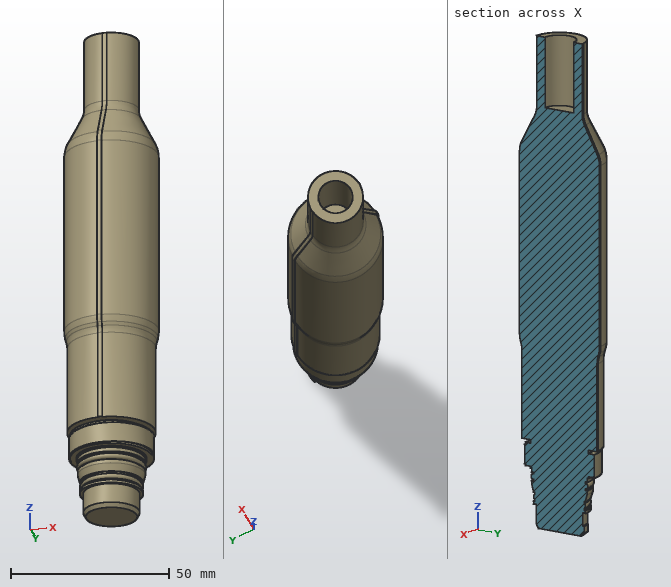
import cadquery as cq
import math

TOTAL_HEIGHT = 161.5
NECK_RADIUS = 8.7
NECK_BOTTOM = 138.4
BODY_RADIUS = 15.0
BODY_TOP = 122.4
BODY_BOTTOM = 63.1
GRIP_RADIUS = 14.0
GRIP_TOP = 57.3
HANDLE_BOTTOM = 28.6
UPPER_BLEND_RADIUS = 7.6
LOWER_BLEND_RADIUS = 8.5

BORE_DIAMETER = 10.8
BORE_DEPTH = TOTAL_HEIGHT - NECK_BOTTOM

OVERALL_DEPTH = 30.8
RIB_WIDTH = 1.5
RIB_HEIGHT = OVERALL_DEPTH / 2 - BODY_RADIUS
RIB_NECK_HEIGHT = 0.1
RIB_CROWN = 0.1
RIB_ROOT = 0.8

COLLAR_RADIUS = 27.0 / 2
COLLAR_TOP = 27.6
COLLAR_BOTTOM = 19.9
COLLAR_CORE_RADIUS = 13.1
LEDGE_DROP = 1.3
LEDGE_RISE = 1.0
LEDGE_CUT_SIZE = 1.6

HUB_RADIUS = 11.1
HUB_BOTTOM = 19.4

SHANK_RADIUS = 21.5 / 2
SHANK_TAPER_TOP = 14.2
NOSE_TOP = 11.6
NOSE_RADIUS = 20.0 / 2
NOSE_BOTTOM = 7.8
TIP_RADIUS = 18.0 / 2
TIP_CHAMFER_HEIGHT = 1.5
TIP_CHAMFER_WIDTH = 0.8

RING_SECTION = 2.0
UPPER_GROOVE_TOP = 18.1
UPPER_GROOVE_BOTTOM = 15.3
UPPER_GROOVE_RADIUS = 20.0 / 2
UPPER_RING_RADIUS = 22.0 / 2
LOWER_GROOVE_TOP = NOSE_TOP
LOWER_GROOVE_BOTTOM = 8.7
LOWER_GROOVE_RADIUS = 19.0 / 2
LOWER_RING_RADIUS = NOSE_RADIUS

KEY_RADIUS = 19.0 / 2
KEY_WIDTH = 5.5
KEY_TOP = 3.5
KEY_BOTTOM = 0.6
KEY_CHAMFER = 0.6


def shoulder(narrow_radius, narrow_z, wide_z, blend_radius, inset):
    """S-shaped step from the body radius to a narrower radius, as points from the wide end.

    Two arcs with a straight line tangent to both; the whole curve is moved inward by inset.
    Returns wide end, arc middle, tangent point, tangent point, arc middle, narrow end.
    """
    side = math.copysign(1, narrow_z - wide_z)
    wide_centre = BODY_RADIUS - blend_radius
    narrow_centre = narrow_radius + blend_radius
    run = narrow_centre - wide_centre
    rise = abs(narrow_z - wide_z)
    slope = math.atan2(rise, run) - math.acos(2 * blend_radius / math.hypot(run, rise))

    def wide_point(angle):
        arc = blend_radius - inset
        return (wide_centre + arc * math.cos(angle), wide_z + side * arc * math.sin(angle))

    def narrow_point(angle):
        arc = blend_radius + inset
        return (narrow_centre - arc * math.cos(angle), narrow_z - side * arc * math.sin(angle))

    wide_arc = [wide_point(angle) for angle in (0, slope / 2, slope)]
    narrow_arc = [narrow_point(angle) for angle in (slope, slope / 2, 0)]
    return wide_arc + narrow_arc


def handle_outline(plane, inset=0.0, neck_radius=NECK_RADIUS):
    """Open outline of the handle side, from bottom to top, moved inward by inset."""
    lower = shoulder(GRIP_RADIUS, GRIP_TOP, BODY_BOTTOM, LOWER_BLEND_RADIUS, inset)[::-1]
    upper = shoulder(neck_radius, NECK_BOTTOM, BODY_TOP, UPPER_BLEND_RADIUS, inset)
    outline = cq.Workplane(plane).moveTo(GRIP_RADIUS - inset, HANDLE_BOTTOM)
    for start, arc_middle, tangent, next_tangent, next_middle, end in (lower, upper):
        outline = outline.lineTo(*start).threePointArc(arc_middle, tangent)
        outline = outline.lineTo(*next_tangent).threePointArc(next_middle, end)
    return outline.lineTo(neck_radius - inset, TOTAL_HEIGHT)


def revolved(outline):
    return outline.close().revolve(360, (0, 0), (0, 1))


def make_rib():
    """Rib on the +Y side, rooted in the handle and following its outline."""
    half_width = RIB_WIDTH / 2
    path = handle_outline("YZ", -RIB_HEIGHT, NECK_RADIUS + RIB_NECK_HEIGHT - RIB_HEIGHT)
    return (
        cq.Workplane("XY", origin=(0, GRIP_RADIUS + RIB_HEIGHT, HANDLE_BOTTOM))
        .moveTo(-half_width, -RIB_ROOT)
        .lineTo(half_width, -RIB_ROOT)
        .lineTo(half_width, -RIB_CROWN)
        .threePointArc((0, 0), (-half_width, -RIB_CROWN))
        .close()
        .sweep(path)
    )


def make_handle():
    body = revolved(handle_outline("XZ").lineTo(0, TOTAL_HEIGHT).lineTo(0, HANDLE_BOTTOM))
    rib = make_rib()
    body = body.union(rib).union(rib.mirror("XZ"))
    bore = cq.Workplane("XY", origin=(0, 0, TOTAL_HEIGHT - BORE_DEPTH)).circle(BORE_DIAMETER / 2)
    return body.cut(bore.extrude(BORE_DEPTH))


def helical_cut(bottom):
    """Half-turn helical cutter outside the collar core, starting on the -X side and rising past -Y."""
    path = cq.Wire.makeHelix(2 * LEDGE_RISE, LEDGE_RISE, COLLAR_CORE_RADIUS)
    cutter = (
        cq.Workplane("XZ")
        .moveTo(COLLAR_CORE_RADIUS, 0)
        .rect(LEDGE_CUT_SIZE, LEDGE_CUT_SIZE, centered=False)
        .sweep(cq.Workplane(path), isFrenet=True)
    )
    return cutter.rotate((0, 0, 0), (0, 0, 1), 180).translate((0, 0, bottom))


def make_collar():
    collar = (
        cq.Workplane("XY", origin=(0, 0, COLLAR_BOTTOM))
        .circle(COLLAR_RADIUS)
        .extrude(COLLAR_TOP - COLLAR_BOTTOM)
        .cut(helical_cut(COLLAR_TOP - LEDGE_DROP))
        .cut(helical_cut(COLLAR_BOTTOM - LEDGE_CUT_SIZE))
    )
    hub = cq.Workplane("XY", origin=(0, 0, HUB_BOTTOM)).circle(HUB_RADIUS)
    return collar.union(hub.extrude(HANDLE_BOTTOM - HUB_BOTTOM))


def make_ring(outer_radius, centre_z):
    section_radius = RING_SECTION / 2
    section = cq.Workplane("XZ").moveTo(section_radius - outer_radius, centre_z).circle(section_radius)
    return section.revolve(360, (0, 0), (0, 1))


def make_spigot():
    outline = cq.Workplane("XZ").polyline([
        (0, 0),
        (TIP_RADIUS - TIP_CHAMFER_WIDTH, 0),
        (TIP_RADIUS, TIP_CHAMFER_HEIGHT),
        (TIP_RADIUS, NOSE_BOTTOM),
        (NOSE_RADIUS, NOSE_BOTTOM),
        (NOSE_RADIUS, LOWER_GROOVE_BOTTOM),
        (LOWER_GROOVE_RADIUS, LOWER_GROOVE_BOTTOM),
        (LOWER_GROOVE_RADIUS, LOWER_GROOVE_TOP),
        (NOSE_RADIUS, NOSE_TOP),
        (SHANK_RADIUS, SHANK_TAPER_TOP),
        (SHANK_RADIUS, UPPER_GROOVE_BOTTOM),
        (UPPER_GROOVE_RADIUS, UPPER_GROOVE_BOTTOM),
        (UPPER_GROOVE_RADIUS, UPPER_GROOVE_TOP),
        (SHANK_RADIUS, UPPER_GROOVE_TOP),
        (SHANK_RADIUS, HUB_BOTTOM),
        (0, HUB_BOTTOM),
    ])
    upper_ring = make_ring(UPPER_RING_RADIUS, (UPPER_GROOVE_TOP + UPPER_GROOVE_BOTTOM) / 2)
    lower_ring = make_ring(LOWER_RING_RADIUS, (LOWER_GROOVE_TOP + LOWER_GROOVE_BOTTOM) / 2)
    return revolved(outline).union(upper_ring).union(lower_ring)


def make_key():
    disc = (
        cq.Workplane("XY", origin=(0, 0, KEY_BOTTOM))
        .circle(KEY_RADIUS)
        .extrude(KEY_TOP - KEY_BOTTOM)
        .faces("<Z")
        .chamfer(KEY_CHAMFER)
    )
    slab = cq.Workplane("XY").rect(KEY_WIDTH, KEY_RADIUS).extrude(KEY_TOP)
    return disc.intersect(slab.translate((0, KEY_RADIUS / 2, 0)))


result = make_spigot().union(make_key()).union(make_collar()).union(make_handle())